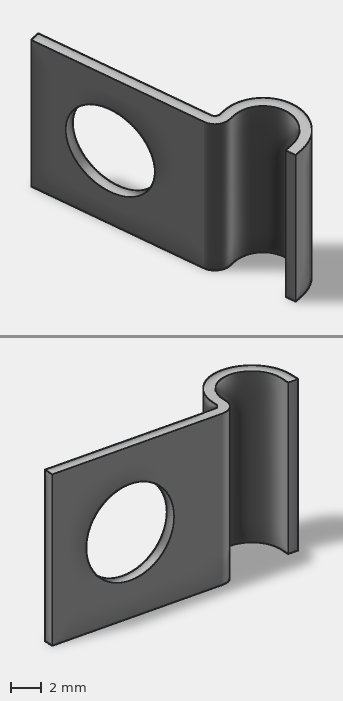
import cadquery as cq
import math

length = 20.64
width = 12.7
thickness = 0.81
loop_inner_radius = 2.37
bend_inner_radius = 0.43
lip_length = 0.79
hole_diameter = 7.14
hole_x = 6.35

loop_outer_radius = loop_inner_radius + thickness
bend_outer_radius = bend_inner_radius + thickness
loop_center_x = length - loop_outer_radius
loop_center_y = thickness + lip_length
left_outer_x = loop_center_x - loop_outer_radius
left_inner_x = loop_center_x - loop_inner_radius
right_inner_x = loop_center_x + loop_inner_radius
bend_center_x = left_outer_x - bend_inner_radius
bend_center_y = thickness + bend_inner_radius


def bend_midpoint(radius):
    """Middle of the plate-to-loop bend at the given radius."""
    offset = radius * math.sqrt(0.5)
    return (bend_center_x + offset, bend_center_y - offset)


def make_strip():
    """Bent sheet: flat plate, bend and half-round loop, extruded along Z."""
    return (
        cq.Workplane("XY")
        .moveTo(0, 0)
        .lineTo(bend_center_x, 0)
        .threePointArc(bend_midpoint(bend_outer_radius), (left_inner_x, bend_center_y))
        .lineTo(left_inner_x, loop_center_y)
        .threePointArc(
            (loop_center_x, loop_center_y + loop_inner_radius),
            (right_inner_x, loop_center_y),
        )
        .lineTo(right_inner_x, loop_center_y - lip_length)
        .lineTo(length, loop_center_y - lip_length)
        .lineTo(length, loop_center_y)
        .threePointArc(
            (loop_center_x, loop_center_y + loop_outer_radius),
            (left_outer_x, loop_center_y),
        )
        .lineTo(left_outer_x, bend_center_y)
        .threePointArc(bend_midpoint(bend_inner_radius), (bend_center_x, thickness))
        .lineTo(0, thickness)
        .close()
        .extrude(width)
    )


def make_hole_cutter():
    """Cylinder through the plate thickness, centred across its width."""
    return (
        cq.Workplane("XZ")
        .center(hole_x, width / 2)
        .circle(hole_diameter / 2)
        .extrude(-thickness)
    )


result = make_strip().cut(make_hole_cutter())